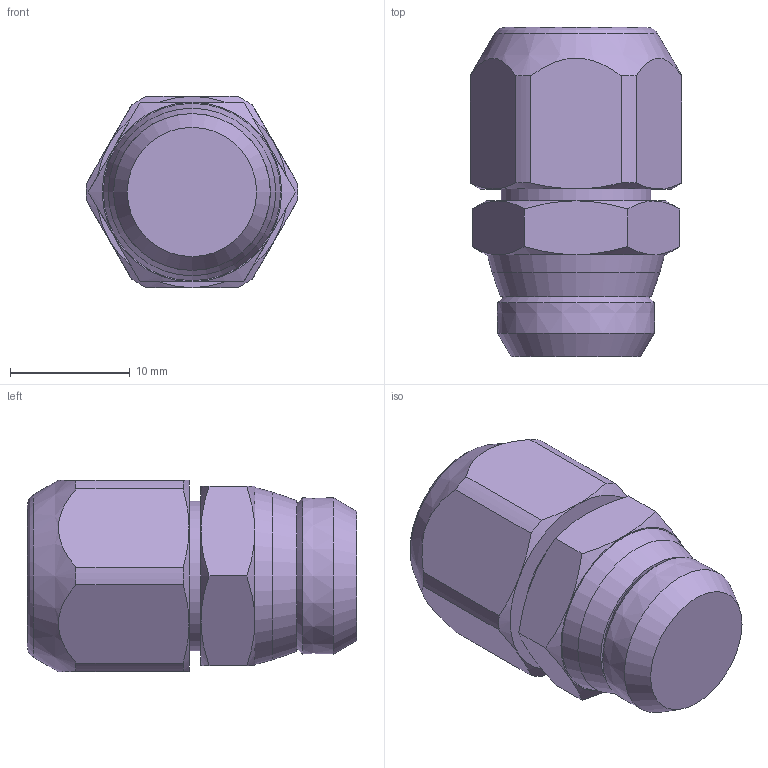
import cadquery as cq
import math

Y_TIP_CONE_END = 1.95
Y_TIP_BAND_END = 4.5
Y_TIP_END = 5.0
Y_TAPER_STEP = 7.0
Y_HEX_START = 8.5
Y_HEX_END = 13.0
Y_NUT_START = 14.0
TOTAL_LENGTH = 27.5

TIP_FACE_RADIUS = 5.4
TIP_BAND_RADIUS = 6.55
TIP_BAND_BULGE = 0.02
TIP_BACK_RADIUS = TIP_BAND_RADIUS - (Y_TIP_END - Y_TIP_BAND_END)
TAPER_SMALL_RADIUS = 6.3
TAPER_STEP_RADIUS = 7.0
TAPER_LARGE_RADIUS = 7.4
NECK_RADIUS = 6.25

BODY_ACROSS_FLATS = 15.0
NUT_ACROSS_FLATS = 16.0
NUT_CORNER_RADIUS = 17.7 / 2
HEX_HALF_ANGLE = math.radians(30)
BEVEL_ANGLE = math.radians(30)

Y_NOSE_FLAT = 24.92
NOSE_HALF_ANGLE = math.radians(30)
NOSE_EDGE_FILLET = 1.0


def revolve_about_y(profile):
    """Revolve a closed (radius, y) profile once round the Y axis."""
    return profile.close().revolve(360, (0, 0, 0), (0, 1, 0))


def hex_prism(across_flats, y_start, y_end):
    """Hexagonal prism along Y with flats facing up and down."""
    across_corners = across_flats / math.cos(HEX_HALF_ANGLE)
    return (
        cq.Workplane("XZ", origin=(0, y_start, 0))
        .polygon(6, across_corners)
        .extrude(y_start - y_end)
    )


def make_shank():
    """Solid core: bulged tip, double taper and the neck reaching into the nut."""
    profile = (
        cq.Workplane("XY")
        .lineTo(TIP_FACE_RADIUS, 0)
        .lineTo(TIP_BAND_RADIUS, Y_TIP_CONE_END)
        .threePointArc(
            (TIP_BAND_RADIUS + TIP_BAND_BULGE, (Y_TIP_CONE_END + Y_TIP_BAND_END) / 2),
            (TIP_BAND_RADIUS, Y_TIP_BAND_END),
        )
        .lineTo(TIP_BACK_RADIUS, Y_TIP_END)
        .lineTo(TAPER_SMALL_RADIUS, Y_TIP_END)
        .lineTo(TAPER_STEP_RADIUS, Y_TAPER_STEP)
        .lineTo(TAPER_LARGE_RADIUS, Y_HEX_START)
        .lineTo(NECK_RADIUS, Y_HEX_START)
        .lineTo(NECK_RADIUS, Y_NUT_START)
        .lineTo(0, Y_NUT_START)
    )
    return revolve_about_y(profile)


def make_body_hex():
    """Hexagon of the body with its corners bevelled at both ends."""
    flat_radius = BODY_ACROSS_FLATS / 2
    corner_radius = flat_radius / math.cos(HEX_HALF_ANGLE)
    bevel = (corner_radius - flat_radius) * math.tan(BEVEL_ANGLE)
    envelope = (
        cq.Workplane("XY")
        .moveTo(0, Y_HEX_START)
        .lineTo(flat_radius, Y_HEX_START)
        .lineTo(corner_radius, Y_HEX_START + bevel)
        .lineTo(corner_radius, Y_HEX_END - bevel)
        .lineTo(flat_radius, Y_HEX_END)
        .lineTo(0, Y_HEX_END)
    )
    return hex_prism(BODY_ACROSS_FLATS, Y_HEX_START, Y_HEX_END).intersect(revolve_about_y(envelope))


def make_nut():
    """Union nut: hexagon with turned corners, bevelled start and conical nose."""
    flat_radius = NUT_ACROSS_FLATS / 2
    corner_depth = NUT_CORNER_RADIUS - flat_radius
    start_bevel = corner_depth * math.tan(BEVEL_ANGLE)
    nose_slope = math.tan(NOSE_HALF_ANGLE)
    nose_start = Y_NOSE_FLAT - corner_depth / nose_slope
    nose_radius = flat_radius - (TOTAL_LENGTH - Y_NOSE_FLAT) * nose_slope
    envelope = (
        cq.Workplane("XY")
        .moveTo(0, Y_NUT_START)
        .lineTo(flat_radius, Y_NUT_START)
        .lineTo(NUT_CORNER_RADIUS, Y_NUT_START + start_bevel)
        .lineTo(NUT_CORNER_RADIUS, nose_start)
        .lineTo(nose_radius, TOTAL_LENGTH)
        .lineTo(0, TOTAL_LENGTH)
    )
    turned = revolve_about_y(envelope).faces(">Y").edges().fillet(NOSE_EDGE_FILLET)
    return hex_prism(NUT_ACROSS_FLATS, Y_NUT_START, TOTAL_LENGTH).intersect(turned)


result = make_shank().union(make_body_hex()).union(make_nut())